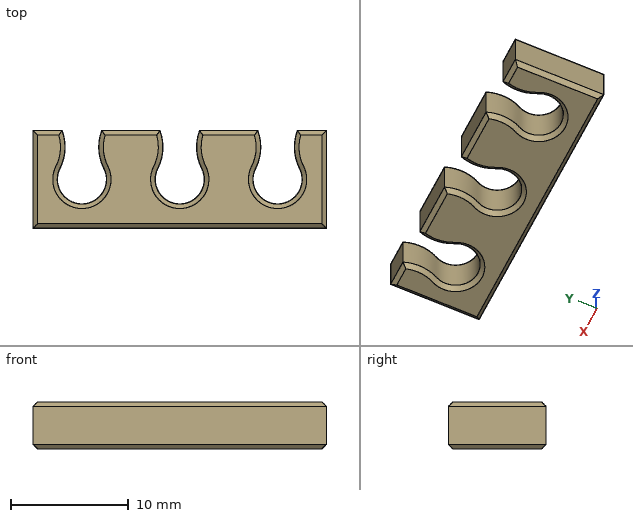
import cadquery as cq
import math

length = 24.9
slot_count = 3
pitch = length / slot_count
depth = pitch
thickness = 4.0
edge_chamfer = 0.4

seat_radius = pitch / 4
neck_half_width = 1.42
neck_height = 2.75

width_step = seat_radius - neck_half_width
lip_radius = (neck_height**2 / width_step - seat_radius - neck_half_width) / 2
lip_center_x = neck_half_width + lip_radius
joint_share = seat_radius / (seat_radius + lip_radius)
joint_x = lip_center_x * joint_share
joint_y = neck_height * joint_share

back_y = depth / 2
mouth_half_width = lip_center_x - math.sqrt(lip_radius**2 - (back_y - neck_height) ** 2)


def slot_cutter(center_x):
    """Keyhole-shaped through cutter with a round seat and curved snap lips."""
    return (
        cq.Workplane("XY", origin=(center_x, 0, -thickness / 2))
        .moveTo(-mouth_half_width, back_y)
        .threePointArc((-neck_half_width, neck_height), (-joint_x, joint_y))
        .threePointArc((0, -seat_radius), (joint_x, joint_y))
        .threePointArc((neck_half_width, neck_height), (mouth_half_width, back_y))
        .close()
        .extrude(thickness)
    )


body = cq.Workplane("XY").box(length, depth, thickness)
for index in range(slot_count):
    slot_x = (index - (slot_count - 1) / 2) * pitch
    body = body.cut(slot_cutter(slot_x))

result = body.faces("|Z").edges().chamfer(edge_chamfer)